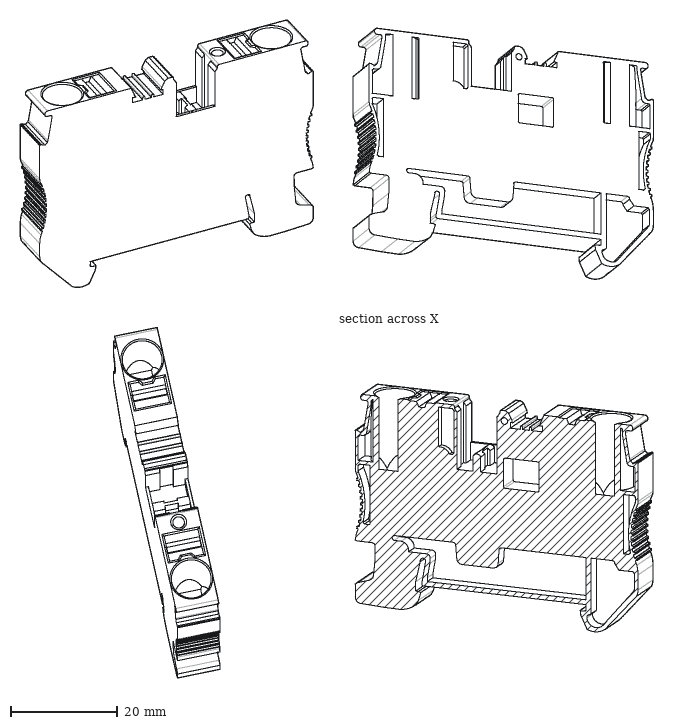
import cadquery as cq
import math

width = 8.2
length = 57.7
height = 41.4
end_y = length / 2
mid_x = width / 2
margin = 0.6

shaft_y = 22.05
shaft_diameter = 7.5
shaft_rim_diameter = 8.1
shaft_rim_depth = 0.3
tube_diameter = 9.05
shaft_floor_z = 28.4
funnel_depth = 3.45
funnel_floor_x = 4.6
funnel_floor_y = 4.85

pocket_depth = 3.45
slot_depth = 0.65
slot_corner = 0.3
slot_inner_y = 18.7
side_pocket_top = 40.55

grip_z = 19.85
grip_half_height = 6.35
grip_sag = 1.45
grip_radius = (grip_half_height**2 + grip_sag**2) / (2 * grip_sag)
grip_center_y = end_y - grip_sag + grip_radius
grip_wall = 0.65
tooth_count = 9
tooth_pitch = 1.18
tooth_height = 0.35
tooth_half_width = 0.3
tooth_tip_half_width = 0.2

marker_y = 15.3
marker_size_x = 7.2
marker_size_y = 5.75
marker_depth = 0.2
marker_draft = 0.35
marker_groove_top = 2.0
marker_groove_floor = 1.1
marker_groove_depth = 1.05
marker_guard_inner = 2.1
marker_guard_outer = 3.8
marker_guard_length = 1.1

test_hole_y = 10.7
test_hole_diameter = 2.2
test_hole_rim_diameter = 3.0
test_hole_rim_depth = 0.3
test_hole_depth = 8.1

gap_width = 8.1
gap_floor_z = 32.3
gap_wall = 0.6
gap_recess_depth = 3.45
gap_groove_width = 2.55
gap_groove_depth = 0.5
gap_rib_width = 1.6
gap_rib_crown = 0.5
gap_rib_neck = 0.6

hinge_y = -1.55
hinge_z = 39.35
hinge_hole_diameter = 1.2
hinge_hole_depth = 3.45
seat_z = 38.15
seat_rib_places = (-5.0, -6.85)
seat_rib_width = 0.5
seat_rib_height = 0.65

window_y = -5.0
window_z = 29.15
window_size_y = 7.15
window_size_z = 5.8
window_depth = 5.55
window_corner = 0.3
contact_pocket_depth = 2.0
channel_top = 14.35
channel_floor = 6.2


def prism(start, steps, depth=width, x=0.0):
    """Extrude a closed Y-Z outline along +X; a pair of points is an arc (through, end)."""
    path = cq.Workplane("YZ", origin=(x, 0, 0)).moveTo(*start)
    for step in steps:
        if isinstance(step[0], tuple):
            path = path.threePointArc(*step)
        else:
            path = path.lineTo(*step)
    return path.close().extrude(depth)


def side_pocket(start, steps, depth=pocket_depth):
    """Cutter that enters the -X face."""
    return prism(start, steps, depth + margin, -margin)


def box(x_range, y_range, z_range):
    size = [high - low for low, high in (x_range, y_range, z_range)]
    corner = (x_range[0], y_range[0], z_range[0])
    return cq.Workplane("XY").box(*size, centered=False).translate(corner)


def vertical_cylinder(diameter, y, bottom, top):
    base = cq.Workplane("XY", origin=(mid_x, y, bottom))
    return base.circle(diameter / 2).extrude(top - bottom)


def rimmed_hole(diameter, rim_diameter, rim_depth, y, bottom):
    """Vertical hole from the top face with a conical rim."""
    rim = (
        cq.Workplane("XY", origin=(mid_x, y, height))
        .circle(rim_diameter / 2)
        .workplane(offset=-rim_depth)
        .circle(diameter / 2)
        .loft()
    )
    return vertical_cylinder(diameter, y, bottom, height).union(rim)


def both_ends(shape):
    return shape.union(shape.mirror("XZ"))


def make_body():
    """Full-width side outline with plain vertical ends above the rail feet."""
    return prism(
        (end_y, height),
        [
            (end_y, 12.65),
            (28.5, 12.45),
            (25.4, 12.45),
            ((25.0, 12.3), (24.8, 11.9)),
            (24.85, 8.95),
            (25.15, 6.05),
            ((25.55, 5.35), (26.15, 5.1)),
            (28.0, 4.5),
            ((28.55, 4.25), (end_y, 4.0)),
            (end_y, 1.45),
            ((28.5, 0.65), (27.7, 0.3)),
            (23.1, 0.05),
            (19.6, 0),
            ((17.8, 0.45), (16.4, 1.3)),
            (15.85, 2.3),
            (15.4, 3.85),
            (15.85, 4.05),
            (16.45, 4.05),
            (16.45, 5.9),
            (15.5, 9.9),
            ((15.05, 10.55), (14.55, 10.05)),
            (15.25, 6.05),
            (15.3, 5.55),
            ((15.2, 5.25), (14.9, 5.15)),
            (-18.2, 5.15),
            (-18.2, 4.05),
            (-17.9, 3.9),
            (-16.95, 3.9),
            (-17.1, 3.0),
            (-18.35, 0.35),
            ((-19.95, 0), (-22.05, 0.7)),
            (-28.55, 8.0),
            ((-28.75, 8.55), (-end_y, 9.3)),
            (-end_y, height),
            (-9.6, height),
            (-8.6, 39.2),
            (-9.25, 39.2),
            (-9.25, seat_z),
            (-2.8, seat_z),
            (-2.8, 39.2),
            (-3.25, 39.2),
            (-3.1, 39.75),
            (-2.5, 40.95),
            ((-2.2, 41.2), (-1.75, height)),
            (-0.9, height),
            (-0.65, 41.25),
            (-0.6, 40.8),
            (0, 39.9),
            (0, gap_floor_z),
            (gap_width, gap_floor_z),
            (gap_width, 40.05),
            (8.6, 40.75),
            (8.6, 41.1),
            ((8.7, 41.3), (8.95, height)),
        ],
    )


def end_step():
    """Cutter that leaves the overhanging lip and the sloped wall at the top of an end."""
    outside = end_y + margin
    return prism(
        (outside, height + margin),
        [
            (27.1, height + margin),
            (27.1, height),
            ((27.6, 41.25), (27.75, 40.8)),
            ((27.65, 40.4), (27.3, 40.2)),
            (26.65, 40.2),
            ((26.3, 40.05), (26.25, 39.7)),
            (27.1, 34.75),
            (27.25, 34.4),
            (27.75, 33.9),
            (28.5, 34.3),
            (28.75, 34.3),
            (end_y, 34.15),
            (outside, 34.15),
        ],
    )


def grip_wall_y(z, wall=0.0):
    """Y of the round grip surface at a height, moved inward by a wall thickness."""
    radius = grip_radius + wall
    return grip_center_y - math.sqrt(radius**2 - (z - grip_z) ** 2)


def grip_scallop():
    """Shallow round hollow in an end, blended into the end face and crossed by blunt teeth."""
    outside = end_y + margin
    arc_top, arc_bottom = 26.1, 14.1
    blend_top, blend_bottom = 26.65, 12.25
    top_blend_middle = (end_y - 0.025, 26.35)
    bottom_blend_middle = (end_y - 0.08, 13.2)
    hollow = prism(
        (end_y, blend_top),
        [
            (top_blend_middle, (grip_wall_y(arc_top), arc_top)),
            ((grip_wall_y(grip_z), grip_z), (grip_wall_y(arc_bottom), arc_bottom)),
            (bottom_blend_middle, (end_y, blend_bottom)),
            (outside, blend_bottom),
            (outside, blend_top),
        ],
    )
    for index in range(tooth_count):
        z = grip_z + (index - (tooth_count - 1) / 2) * tooth_pitch
        root_y = grip_wall_y(z)
        inner_y = root_y - tooth_height
        tip_y = root_y + tooth_height
        tooth = prism(
            (inner_y, z - tooth_half_width),
            [
                (root_y, z - tooth_half_width),
                (tip_y, z - tooth_tip_half_width),
                (tip_y, z + tooth_tip_half_width),
                (root_y, z + tooth_half_width),
                (inner_y, z + tooth_half_width),
            ],
        )
        hollow = hollow.cut(tooth)
    return hollow


def grip_pocket():
    """Side pocket behind the grip, following it at an even wall thickness."""
    inner_y = 25.9
    top, bottom = 27.6, 16.05
    corner = 0.25
    arc_top, arc_bottom = 26.3, 16.35
    outer_y = grip_wall_y(arc_top, grip_wall)
    return side_pocket(
        (inner_y, top),
        [
            (outer_y - corner, top),
            (outer_y, top - corner),
            (outer_y, arc_top),
            ((grip_wall_y(grip_z, grip_wall), grip_z), (grip_wall_y(arc_bottom, grip_wall), arc_bottom)),
            (26.9, bottom),
            (inner_y, bottom),
        ],
    )


def tube_pockets():
    """Side pocket and narrow slot on either side of the shaft tube."""
    pocket = side_pocket(
        (shaft_y, side_pocket_top),
        [
            (25.2, side_pocket_top),
            ((25.45, 40.45), (25.5, 40.15)),
            (25.55, 39.25),
            (26.4, 34.15),
            ((26.65, 33.6), (27.25, 33.3)),
            (27.9, 33.3),
            (28.15, 33.05),
            (28.15, shaft_floor_z),
            (shaft_y, shaft_floor_z),
        ],
        mid_x,
    )
    slot = box((-margin, slot_depth), (slot_inner_y, shaft_y), (shaft_floor_z, side_pocket_top))
    slot = slot.edges("|X").fillet(slot_corner)
    tube = vertical_cylinder(tube_diameter, shaft_y, 0, height)
    return pocket.union(slot).cut(tube)


def screw_shaft():
    """Round shaft that narrows to a rectangular floor."""
    shaft = rimmed_hole(shaft_diameter, shaft_rim_diameter, shaft_rim_depth, shaft_y, shaft_floor_z)
    funnel = (
        cq.Workplane("XY", origin=(mid_x, shaft_y, shaft_floor_z))
        .rect(shaft_diameter, shaft_diameter)
        .workplane(offset=-funnel_depth)
        .rect(funnel_floor_x, funnel_floor_y)
        .loft()
    )
    bore = vertical_cylinder(shaft_diameter, shaft_y, shaft_floor_z - funnel_depth, shaft_floor_z)
    return shaft.union(funnel.intersect(bore))


def marker_recess():
    """Shallow drafted recess with a deep groove across it and a guard beside the shaft rim."""
    draft_angle = math.degrees(math.atan(marker_draft / marker_depth))
    recess = (
        cq.Workplane("XY", origin=(mid_x, marker_y, height))
        .rect(marker_size_x, marker_size_y)
        .extrude(-marker_depth, taper=draft_angle)
    )
    floor_z = height - marker_depth
    groove_length = marker_size_x - 2 * marker_draft
    groove = prism(
        (marker_y - marker_groove_top / 2, floor_z),
        [
            (marker_y - marker_groove_floor / 2, floor_z - marker_groove_depth),
            (marker_y + marker_groove_floor / 2, floor_z - marker_groove_depth),
            (marker_y + marker_groove_top / 2, floor_z),
        ],
        groove_length,
        mid_x - groove_length / 2,
    )
    guard = (
        cq.Workplane("XY", origin=(mid_x, marker_y + marker_size_y / 2, floor_z))
        .moveTo(-marker_guard_outer / 2, marker_draft)
        .lineTo(-marker_guard_outer / 2, 0)
        .lineTo(-marker_guard_inner / 2, -marker_guard_length)
        .lineTo(marker_guard_inner / 2, -marker_guard_length)
        .lineTo(marker_guard_outer / 2, 0)
        .lineTo(marker_guard_outer / 2, marker_draft)
        .close()
        .extrude(marker_depth, taper=draft_angle)
    )
    return recess.cut(guard).union(groove)


def gap_recess():
    """Deep recess in the gap floor, with wall grooves and a necked cross rib."""
    floor_z = gap_floor_z - gap_recess_depth
    groove_x = (mid_x - gap_groove_width / 2, mid_x + gap_groove_width / 2)
    recess = box((gap_wall, width - gap_wall), (0, gap_width), (floor_z, gap_floor_z))
    grooves = box(groove_x, (-gap_groove_depth, gap_width + gap_groove_depth), (floor_z, height))
    rib_y = gap_width / 2
    half_rib = gap_rib_width / 2
    shoulder_z = gap_floor_z - gap_rib_crown
    rib = prism(
        (rib_y - half_rib, floor_z),
        [
            (rib_y - half_rib, shoulder_z),
            ((rib_y, gap_floor_z), (rib_y + half_rib, shoulder_z)),
            (rib_y + half_rib, floor_z),
        ],
    )
    neck_y = (rib_y - gap_rib_neck / 2, rib_y + gap_rib_neck / 2)
    ends = rib.cut(box(groove_x, (0, gap_width), (0, height)))
    neck = rib.intersect(box((0, width), neck_y, (0, height)))
    return recess.union(grooves).cut(ends).cut(neck)


def seat_rib(y):
    half = seat_rib_width / 2
    shoulder_z = seat_z + seat_rib_height - half
    return prism(
        (y - half, seat_z - half),
        [
            (y - half, shoulder_z),
            ((y, seat_z + seat_rib_height), (y + half, shoulder_z)),
            (y + half, seat_z - half),
        ],
    )


def hinge_hole():
    center = cq.Workplane("YZ").center(hinge_y, hinge_z)
    return center.circle(hinge_hole_diameter / 2).extrude(hinge_hole_depth)


def window_pocket():
    return (
        cq.Workplane("YZ")
        .center(window_y, window_z)
        .rect(window_size_y, window_size_z)
        .extrude(window_depth)
        .edges("|X")
        .fillet(window_corner)
    )


def contact_pocket():
    """Side pocket beside the gap, with a stepped lower edge."""
    return side_pocket(
        (11.75, side_pocket_top),
        [
            (9.05, side_pocket_top),
            (8.75, 40.3),
            (8.75, 31.95),
            (9.0, 31.7),
            (9.6, 31.7),
            ((10.4, 32.55), (11.75, 32.9)),
        ],
        contact_pocket_depth,
    )


def channel_pocket():
    """Long side pocket above the rail, with a flush tongue hanging from its top edge."""
    pocket = side_pocket(
        (20.85, channel_top),
        [
            ((21.25, 13.95), (20.85, 13.5)),
            (19.4, 13.5),
            ((18.25, 12.8), (17.9, 11.6)),
            (14.3, 11.6),
            ((13.75, 11.35), (13.5, 10.8)),
            (13.55, 9.8),
            (14.1, 6.9),
            (14.1, channel_floor),
            (-18.2, channel_floor),
            (-18.2, channel_top),
        ],
    )
    tongue = prism(
        (8.75, channel_top),
        [
            ((8.55, 14.25), (8.4, 13.95)),
            (8.2, 11.35),
            ((7.8, 10.5), (6.9, 10.2)),
            (0.8, 10.2),
            ((0, 10.55), (-0.35, 11.35)),
            (-0.5, 13.95),
            ((-0.65, 14.25), (-0.85, channel_top)),
        ],
    )
    return pocket.cut(tongue)


def foot_pocket():
    """Side pocket inside the sloped rail foot."""
    return side_pocket(
        (-19.3, channel_top),
        [
            (-23.6, channel_top),
            ((-23.9, 14.2), (-24.0, 13.85)),
            (-24.85, 12.65),
            (-27.75, 12.65),
            (-28.0, 12.35),
            (-28.0, 9.2),
            (-27.75, 8.75),
            (-21.8, 1.8),
            ((-19.85, 1.0), (-18.4, 2.65)),
            (-18.45, 3.05),
            (-18.75, 3.25),
            (-19.05, 3.3),
            (-19.3, 3.5),
        ],
    )


result = make_body()

for place in seat_rib_places:
    result = result.union(seat_rib(place))

for end_feature in (end_step, grip_scallop, grip_pocket, tube_pockets, screw_shaft, marker_recess):
    result = result.cut(both_ends(end_feature()))

test_hole = rimmed_hole(
    test_hole_diameter,
    test_hole_rim_diameter,
    test_hole_rim_depth,
    test_hole_y,
    height - test_hole_depth,
)
result = result.cut(test_hole)

for feature in (gap_recess, hinge_hole, window_pocket, contact_pocket, channel_pocket, foot_pocket):
    result = result.cut(feature())